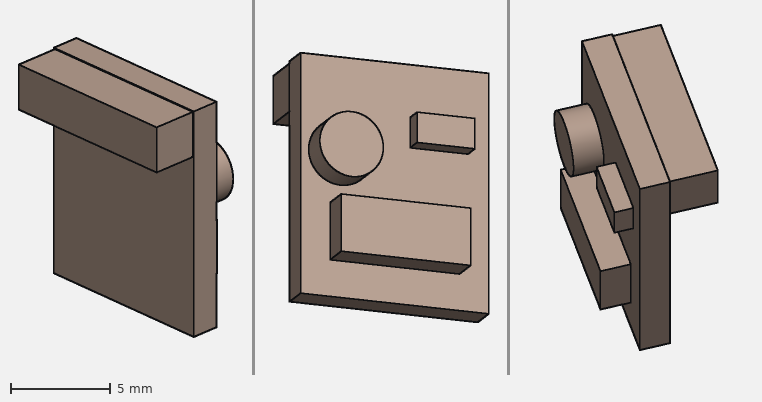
import cadquery as cq

board_width = 10.16
board_thickness = 1.6
board_height = 12.7

connector_side_inset = 0.08
connector_top_inset = 0.05
connector_depth = 2.54
connector_height = 2.54

component_depth = 1.6

large_block_width = 6.98
large_block_height = 3.02
large_block_bottom = 1.93

can_radius = 1.71
can_x = 2.93
can_z = 7.65

small_block_width = 3.12
small_block_depth = 1.0
small_block_height = 1.6
small_block_x = -2.39
small_block_bottom = 8.3


def block(width, depth, height, center_x, front_y, bottom_z):
    """Box centred on center_x that runs back from front_y and up from bottom_z."""
    return (
        cq.Workplane("XY")
        .box(width, depth, height, centered=(True, False, False))
        .translate((center_x, front_y, bottom_z))
    )


def round_can():
    """Cylinder standing out from the back face along +Y."""
    profile = cq.Workplane("XZ").center(can_x, can_z).circle(can_radius)
    return profile.extrude(-component_depth).translate((0, board_thickness, 0))


board = block(board_width, board_thickness, board_height, 0, 0, 0)

connector = block(
    board_width - 2 * connector_side_inset,
    connector_depth,
    connector_height,
    0,
    -connector_depth,
    board_height - connector_top_inset - connector_height,
)

large_block = block(
    large_block_width, component_depth, large_block_height, 0, board_thickness, large_block_bottom
)

small_block = block(
    small_block_width,
    small_block_depth,
    small_block_height,
    small_block_x,
    board_thickness,
    small_block_bottom,
)

result = board.union(connector).union(large_block).union(round_can()).union(small_block)